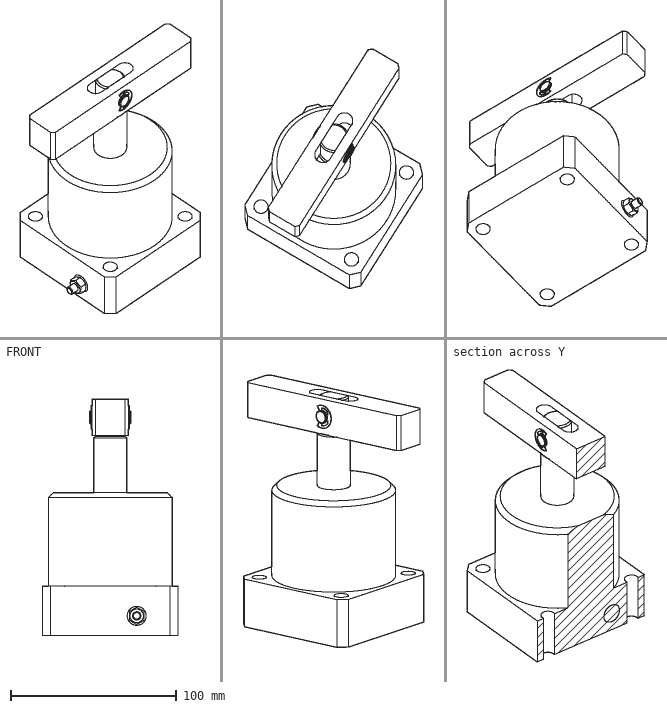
import cadquery as cq
import math

flange_side = 82
flange_height = 30
flange_corner = 5
barrel_diameter = 75
barrel_chamfer = 3
barrel_top = 86.5
bolt_hole_diameter = 8.5
bolt_pitch = 64

bar_width = 22
bar_length = 120
bar_height = 22
bar_corner = 2
bar_top = 143
bar_bottom = bar_top - bar_height
slot_width = 10
slot_length = 35

rod_diameter = 20
rod_chamfer = 1
rod_shoulder = bar_bottom - 0.5
tongue_diameter = rod_diameter - 2 * rod_chamfer
tongue_chamfer = 1
tongue_top = bar_top

pin_diameter = 8
pin_length = 25
pin_chamfer = 0.5
pin_groove_diameter = 7
pin_height = bar_bottom + bar_height / 2

clip_thickness = 0.5
clip_outer_radius = 7.15
clip_relief_radius = 5.6
clip_relief_depth = 4.6
clip_back_prong_width = 4
clip_mouth_half_angle = 60
clip_positions = (-bar_width / 2 - clip_thickness, bar_width / 2)

fitting_x = 16
fitting_z = 12
plug_diameter = 11.5
plug_depth = 8
hex_across_flats = 9
hex_across_corners = hex_across_flats / math.cos(math.radians(30))
hex_length = 5
hex_end_diameter = 8.2
hex_chamfer_width = (hex_across_corners - hex_end_diameter) / 2
hex_chamfer_length = hex_chamfer_width * math.tan(math.radians(30))
stem_diameter = 5
stem_length = 5
stem_chamfer = 0.5


def rod_along_x(diameter, length):
    """Cylinder centred on the cross-pin axis."""
    return (
        cq.Workplane("YZ", origin=(-length / 2, 0, pin_height))
        .circle(diameter / 2)
        .extrude(length)
    )


def forward_plane(depth):
    """Plane facing -Y on the fitting axis, at a distance in front of the flange face."""
    return cq.Workplane("XZ", origin=(fitting_x, -flange_side / 2 - depth, fitting_z))


def make_plug():
    """Round part of the fitting that sits flush in the flange."""
    return forward_plane(-plug_depth).circle(plug_diameter / 2).extrude(plug_depth)


def make_housing():
    flange = (
        cq.Workplane("XY")
        .rect(flange_side, flange_side)
        .extrude(flange_height)
        .edges("|Z")
        .chamfer(flange_corner)
    )
    bolt_holes = (
        cq.Workplane("XY")
        .rect(bolt_pitch, bolt_pitch, forConstruction=True)
        .vertices()
        .circle(bolt_hole_diameter / 2)
        .extrude(flange_height)
    )
    barrel = (
        cq.Workplane("XY", origin=(0, 0, flange_height))
        .circle(barrel_diameter / 2)
        .extrude(barrel_top - flange_height)
        .faces(">Z")
        .chamfer(barrel_chamfer)
    )
    return flange.cut(bolt_holes).union(barrel).cut(make_plug())


def make_rod():
    shaft = (
        cq.Workplane("XY", origin=(0, 0, barrel_top))
        .circle(rod_diameter / 2)
        .extrude(rod_shoulder - barrel_top)
        .faces(">Z")
        .chamfer(rod_chamfer)
    )
    tongue_height = tongue_top - rod_shoulder
    tongue = (
        cq.Workplane("XY", origin=(0, 0, rod_shoulder))
        .circle(tongue_diameter / 2)
        .extrude(tongue_height)
        .faces(">Z")
        .chamfer(tongue_chamfer)
    )
    flats = (
        cq.Workplane("XY", origin=(0, 0, rod_shoulder))
        .rect(slot_width, rod_diameter)
        .extrude(tongue_height)
    )
    pin_hole = rod_along_x(pin_diameter, rod_diameter)
    return shaft.union(tongue.intersect(flats)).cut(pin_hole)


def make_bar():
    block = (
        cq.Workplane("XY", origin=(0, 0, bar_bottom))
        .rect(bar_width, bar_length)
        .extrude(bar_height)
        .edges("|Z")
        .chamfer(bar_corner)
    )
    slot = (
        cq.Workplane("XY", origin=(0, 0, bar_bottom))
        .slot2D(slot_length, slot_width, 90)
        .extrude(bar_height)
    )
    return block.cut(slot).cut(rod_along_x(pin_diameter, bar_width))


def clip_disc(radius, start_x):
    """Disc as thick as a clip around the cross-pin axis, starting at start_x toward +X."""
    return (
        cq.Workplane("YZ", origin=(start_x, 0, pin_height))
        .circle(radius)
        .extrude(clip_thickness)
    )


def make_pin():
    pin = rod_along_x(pin_diameter, pin_length).faces("<X or >X").chamfer(pin_chamfer)
    for x in clip_positions:
        groove = clip_disc(pin_diameter / 2, x).cut(clip_disc(pin_groove_diameter / 2, x))
        pin = pin.cut(groove)
    return pin


def make_clip(start_x):
    """E-shaped clip open toward -Y: two side prongs and a back prong sit in the pin groove."""
    plane = cq.Workplane("YZ", origin=(start_x, 0, pin_height))
    relief_corner = math.sqrt(clip_relief_radius**2 - clip_relief_depth**2)
    relief = (
        plane.moveTo(0, clip_relief_radius)
        .radiusArc((clip_relief_depth, relief_corner), clip_relief_radius)
        .lineTo(clip_relief_depth, -relief_corner)
        .radiusArc((0, -clip_relief_radius), clip_relief_radius)
        .close()
        .extrude(clip_thickness)
    )
    back_prong = (
        plane.center(clip_relief_radius / 2, 0)
        .rect(clip_relief_radius, clip_back_prong_width)
        .extrude(clip_thickness)
    )
    mouth_reach = clip_outer_radius
    mouth_half_height = mouth_reach * math.tan(math.radians(clip_mouth_half_angle))
    mouth = (
        plane.polyline([(0, 0), (-mouth_reach, mouth_half_height), (-mouth_reach, -mouth_half_height)])
        .close()
        .extrude(clip_thickness)
    )
    disc = clip_disc(clip_outer_radius, start_x)
    bore = clip_disc(pin_groove_diameter / 2, start_x)
    return disc.cut(relief.cut(back_prong)).cut(mouth).cut(bore)


def make_fitting():
    hexagon = (
        forward_plane(0)
        .transformed(rotate=(0, 0, 30))
        .polygon(6, hex_across_corners)
        .extrude(hex_length)
    )
    rounding = (
        forward_plane(0)
        .circle(hex_across_corners / 2)
        .extrude(hex_length)
        .faces("<Y or >Y")
        .chamfer(hex_chamfer_length, hex_chamfer_width)
    )
    stem = (
        forward_plane(hex_length)
        .circle(stem_diameter / 2)
        .extrude(stem_length)
        .faces("<Y")
        .chamfer(stem_chamfer)
    )
    return make_plug().union(hexagon.intersect(rounding)).union(stem)


housing = make_housing()
rod = make_rod()
bar = make_bar()
pin = make_pin()
clips = [make_clip(x) for x in clip_positions]
fitting = make_fitting()

result = cq.Compound.makeCompound(
    [housing.val(), rod.val(), bar.val(), pin.val(), *[clip.val() for clip in clips], fitting.val()]
)